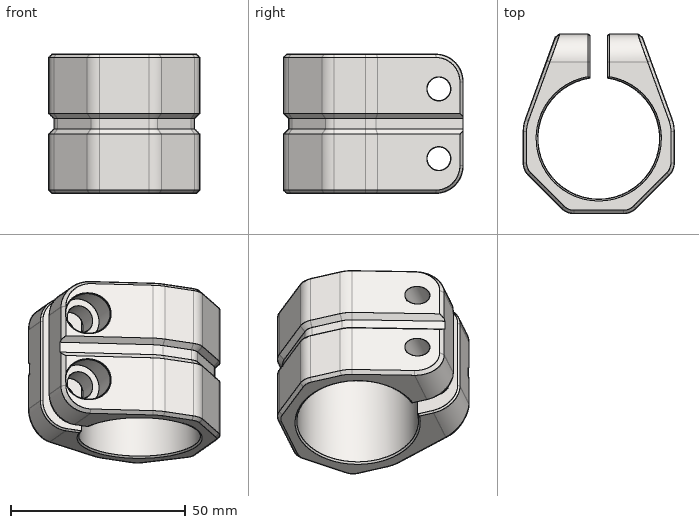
import cadquery as cq
import math

width = 43.4
height = 40.0
depth = 51.6
front_reach = 21.6
rear_reach = depth - front_reach

front_flat = 18.35
shoulder_y = 3.75
lean_angle = 20
corner_radius = 5.0
shoulder_radius = 10.0
rear_radius = 8.0
outer_chamfer = 1.0

bore_diameter = 34.9
gap_width = 5.0
inner_chamfer = 0.5

groove_floor_width = 3.0
groove_depth = 1.5

screw_spacing = 20.0
screw_y = 23.0
tapped_diameter = 6.75
clearance_diameter = 8.0
head_diameter = 12.0
head_seat_x = -9.05
head_chamfer = 0.2

half_width = width / 2
half_height = height / 2
half_gap = gap_width / 2
margin = 0.5


def prism(rear_y, inset, bottom, top):
    """Rounded outline with its flat rear at rear_y, moved inwards by inset and extruded in Z."""
    rear_half = half_width - (rear_y - shoulder_y) * math.tan(math.radians(lean_angle))
    corner = front_flat / 2
    side_y = -front_reach + half_width - corner
    right_side = [
        (corner, -front_reach),
        (half_width, side_y),
        (half_width, shoulder_y),
        (rear_half, rear_y),
    ]
    left_side = [(-x, y) for x, y in reversed(right_side)]
    block = cq.Workplane("XY").polyline(right_side + left_side).close().extrude(top - bottom)
    front_edges = cq.selectors.BoxSelector(
        (-width, -width, 0), (width, shoulder_y - margin, height)
    )
    shoulder_edges = cq.selectors.BoxSelector(
        (-width, shoulder_y - margin, 0), (width, shoulder_y + margin, height)
    )
    block = block.edges("|Z").edges(front_edges).fillet(corner_radius)
    block = block.edges("|Z").edges(shoulder_edges).fillet(shoulder_radius)
    if inset:
        block = block.faces("<Z").wires().toPending().offset2D(-inset).extrude(top - bottom, combine=False)
    return block.translate((0, 0, bottom))


def body():
    """Solid block with its rear end rounded and its outer rim chamfered."""
    block = prism(rear_reach, 0, -half_height, half_height)
    block = block.edges("|X and >Y").fillet(rear_radius)
    rim = block.edges("(not (|X or |Z)) or (|X and <Y) or (|Z and >Y)")
    return rim.chamfer(outer_chamfer)


def cut_bore_and_gap(block):
    """Open the bore and the gap to the rear, and chamfer their edges."""
    bore_radius = bore_diameter / 2
    bore = cq.Workplane("XY").circle(bore_radius).extrude(half_height, both=True)
    gap = cq.Workplane("XY").box(gap_width, 2 * rear_reach, height)
    block = block.cut(bore).cut(gap.translate((0, rear_reach, 0)))
    gap_edges = cq.selectors.BoxSelector(
        (-half_gap - margin, bore_radius, -height), (half_gap + margin, width, height)
    )
    bore_edges = cq.selectors.BoxSelector(
        (-half_gap, -bore_radius, -height), (half_gap, bore_radius, height)
    )
    bore_edges = bore_edges & cq.selectors.StringSyntaxSelector("%CIRCLE")
    return block.edges(gap_edges + bore_edges).chamfer(inner_chamfer)


def cut_screw_hole(block):
    """Upper screw hole: head seat and clearance on the -X side of the gap, tapped size on the +X side."""
    axis = cq.Workplane("YZ").center(screw_y, screw_spacing / 2)
    tapped = axis.circle(tapped_diameter / 2).extrude(width)
    clearance = axis.circle(clearance_diameter / 2).extrude(-width)
    head = axis.workplane(offset=head_seat_x).circle(head_diameter / 2).extrude(-width)
    block = block.cut(tapped).cut(clearance).cut(head)
    return block.edges("%ELLIPSE").edges("<X").chamfer(head_chamfer)


def grooved_envelope():
    """Long outline with the screw holes and a 45 degree walled groove that runs out through the rear."""
    beyond = rear_reach + 2 * groove_depth
    floor_half = groove_floor_width / 2
    upper = prism(beyond, 0, floor_half, half_height).faces("<Z").chamfer(groove_depth)
    upper = cut_screw_hole(upper)
    waist = prism(beyond, groove_depth, -floor_half, floor_half)
    return waist.union(upper).union(upper.mirror("XY"))


result = cut_bore_and_gap(body()).intersect(grooved_envelope())